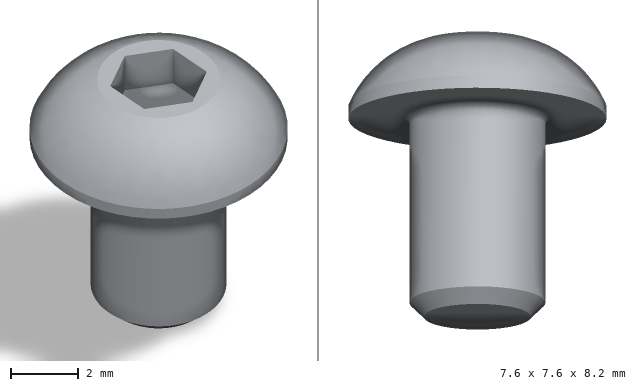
import cadquery as cq
import math

total_height = 8.2
head_diameter = 7.6
head_height = 2.2
shank_diameter = 4.0

rim_height = 0.37
top_flat_diameter = 3.61
dome_bulge = 0.29

tip_chamfer = 0.43
neck_fillet_radius = 0.2

socket_across_flats = 2.525
socket_depth = 1.3

head_radius = head_diameter / 2
top_flat_radius = top_flat_diameter / 2
shank_radius = shank_diameter / 2
tip_z = head_height - total_height


def dome_midpoint():
    """Middle of the dome arc, offset outward from the middle of its chord."""
    run = head_radius - top_flat_radius
    rise = head_height - rim_height
    chord = math.hypot(run, rise)
    return (
        (head_radius + top_flat_radius) / 2 + dome_bulge * rise / chord,
        (head_height + rim_height) / 2 + dome_bulge * run / chord,
    )


def neck_midpoint():
    """Middle of the concave quarter circle joining the shank to the head."""
    inset = 1 - math.sqrt(0.5)
    return (shank_radius + neck_fillet_radius * inset, -neck_fillet_radius * inset)


def make_screw_body():
    """Button head and shank revolved about the Z axis."""
    return (
        cq.Workplane("XZ")
        .moveTo(0, tip_z)
        .lineTo(shank_radius - tip_chamfer, tip_z)
        .lineTo(shank_radius, tip_z + tip_chamfer)
        .lineTo(shank_radius, -neck_fillet_radius)
        .threePointArc(neck_midpoint(), (shank_radius + neck_fillet_radius, 0))
        .lineTo(head_radius, 0)
        .lineTo(head_radius, rim_height)
        .threePointArc(dome_midpoint(), (top_flat_radius, head_height))
        .lineTo(0, head_height)
        .close()
        .revolve(360, (0, 0, 0), (0, 1, 0))
    )


def make_socket():
    """Hexagonal prism with two corners on the Y axis."""
    across_corners = socket_across_flats / math.cos(math.pi / 6)
    return (
        cq.Workplane("XY", origin=(0, 0, head_height))
        .transformed(rotate=(0, 0, 90))
        .polygon(6, across_corners)
        .extrude(-socket_depth)
    )


result = make_screw_body().cut(make_socket())